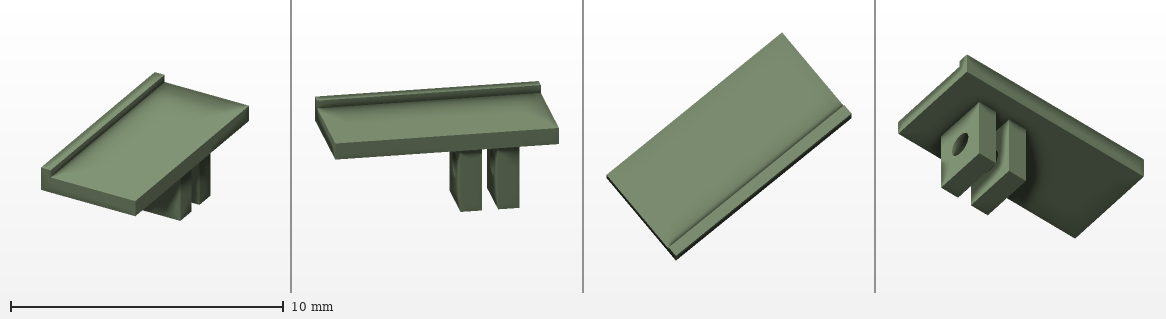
import cadquery as cq

plate_width = 4.0
plate_length = 8.35
plate_thickness = 0.635
lip_width = 0.42
lip_height = 0.3

total_height = 3.7
lug_height = total_height - plate_thickness - lip_height
lug_width = 2.22
lug_thickness = 0.8
lug_gap = 0.6
lug_end_offset = 1.3
hole_diameter = 0.95
hole_drop = 1.36


def make_plate():
    """L-shaped profile running the full length; underside at Z = 0."""
    left = -plate_width / 2
    right = plate_width / 2
    lip_top = plate_thickness + lip_height
    return (
        cq.Workplane("XZ")
        .moveTo(left, 0)
        .lineTo(right, 0)
        .lineTo(right, plate_thickness)
        .lineTo(left + lip_width, plate_thickness)
        .lineTo(left + lip_width, lip_top)
        .lineTo(left, lip_top)
        .close()
        .extrude(plate_length / 2, both=True)
    )


def make_lug(back_face_y):
    """Lug with a through hole along Y, extending toward -Y from its back face."""
    lug = (
        cq.Workplane("XZ", origin=(0, back_face_y, -lug_height / 2))
        .rect(lug_width, lug_height)
        .extrude(lug_thickness)
    )
    hole = (
        cq.Workplane("XZ", origin=(0, back_face_y, -hole_drop))
        .circle(hole_diameter / 2)
        .extrude(lug_thickness)
    )
    return lug.cut(hole)


result = make_plate()
first_lug_y = plate_length / 2 - lug_end_offset
for index in range(2):
    result = result.union(make_lug(first_lug_y - index * (lug_thickness + lug_gap)))